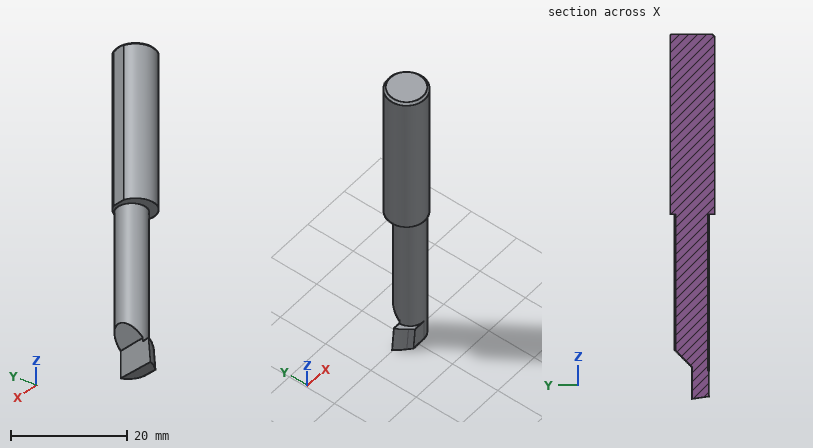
import cadquery as cq

total_length = 63.0
shank_diameter = 8.0
shank_length = 31.05
shank_chamfer = 0.45
flat_depth = 0.25
neck_diameter = 6.0

shank_radius = shank_diameter / 2
neck_radius = neck_diameter / 2
neck_length = total_length - shank_length
neck_center_x = shank_radius - neck_radius

ramp_start_z = 5.7

head_height = 5.05
tip_x = -shank_radius
flank_bulge_x, flank_bulge_y = 0.6, -1.15
flank_end_x, flank_end_y = 1.4, -2.1
heel_x = 2.15
side_lean = 0.5

end_rise_front = 0.45
end_rise_side = 0.25


def make_shank():
    shank = cq.Workplane("XY").workplane(offset=neck_length).circle(shank_radius).extrude(shank_length)
    shank = shank.faces(">Z").chamfer(shank_chamfer)
    flat_cutter = (
        cq.Workplane("XY")
        .workplane(offset=neck_length)
        .center(0, shank_radius - flat_depth / 2)
        .rect(shank_diameter, flat_depth)
        .extrude(shank_length)
    )
    return shank.cut(flat_cutter)


def make_neck():
    neck = cq.Workplane("XY").center(neck_center_x, 0).circle(neck_radius).extrude(neck_length)
    run_out_y = shank_diameter
    relief = (
        cq.Workplane("YZ")
        .polyline([(0, 0), (0, ramp_start_z), (run_out_y, ramp_start_z + run_out_y), (run_out_y, 0)])
        .close()
        .extrude(shank_diameter, both=True)
    )
    return neck.cut(relief)


def head_outline(plane, shift):
    """Draw the head section with its flank shifted along X."""
    start_x = tip_x + shift
    return (
        plane.moveTo(start_x, 0)
        .threePointArc(
            (start_x + flank_bulge_x, flank_bulge_y),
            (start_x + flank_end_x, flank_end_y),
        )
        .lineTo(start_x + heel_x, -neck_radius)
        .lineTo(neck_center_x, -neck_radius)
        .lineTo(neck_center_x, 0)
        .close()
    )


def make_head():
    lower = head_outline(cq.Workplane("XY"), 0)
    upper = head_outline(lower.workplane(offset=head_height), side_lean)
    return upper.loft(ruled=True)


def make_end_clearance():
    """Block below the tilted end plane, which passes through the lowest point of the tip."""
    slope_x = end_rise_side / shank_diameter
    slope_y = -end_rise_front / neck_radius
    end_plane = cq.Plane(
        origin=(tip_x, 0, 0),
        xDir=(1, 0, slope_x),
        normal=(-slope_x, -slope_y, 1),
    )
    block_side = 4 * shank_diameter
    return cq.Workplane(end_plane).rect(block_side, block_side).extrude(-shank_diameter)


lower_end = make_neck().union(make_head()).cut(make_end_clearance())
result = make_shank().union(lower_end)